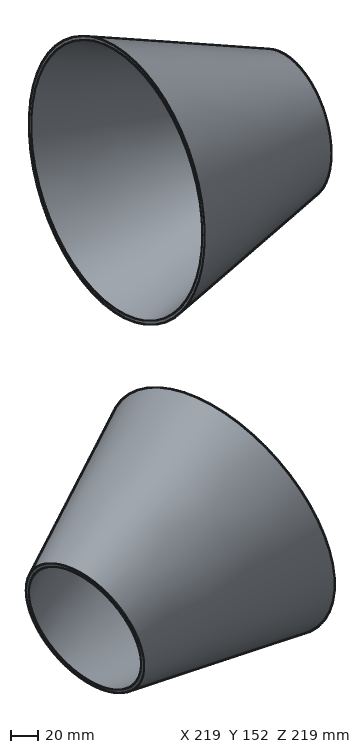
import cadquery as cq

large_diameter = 219
small_diameter = 114.4
length = 152.0
wall = 3.0

large_radius = large_diameter / 2
small_radius = small_diameter / 2

wall_section = (
    cq.Workplane("XY")
    .moveTo(large_radius, 0)
    .lineTo(small_radius, length)
    .lineTo(small_radius - wall, length)
    .lineTo(large_radius - wall, 0)
    .close()
)

result = wall_section.revolve(360, (0, 0, 0), (0, 1, 0))